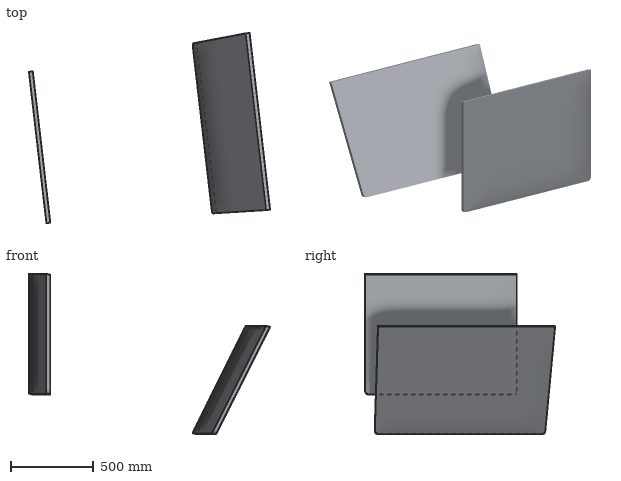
import cadquery as cq
import math

yaw = 6.6
thickness = 25.0
edge_drop = 6.0
corner_radius = 22.0

yaw_cos = math.cos(math.radians(yaw))
yaw_sin = math.sin(math.radians(yaw))
thickness_vector = cq.Vector(thickness * yaw_cos, thickness * yaw_sin, -edge_drop)

upright_length = 930.0
upright_bottom = 247.0
upright_top = 978.0
upright_end_x = upright_length * yaw_sin

leaning_bottom = edge_drop
leaning_top = 660.0
leaning_top_length = 1085.0
leaning_bottom_length = 1044.0
overall_length = 1470.0
leaning_top_x = overall_length - thickness * yaw_cos
leaning_top_y = 80.0
leaning_bottom_x = 1116.0
leaning_bottom_y = 59.0


def far_end(near, length):
    """Point at the +Y end of a level edge that starts at near."""
    return near + cq.Vector(-length * yaw_sin, length * yaw_cos, 0)


def make_panel(bottom_near, bottom_length, top_near, top_length):
    """Slanted prism on a four-sided front face, with both lower corners rounded."""
    bottom_far = far_end(bottom_near, bottom_length)
    top_far = far_end(top_near, top_length)
    outline = cq.Wire.makePolygon([bottom_near, bottom_far, top_far, top_near], close=True)
    lower_corners = [
        vertex for vertex in outline.Vertices()
        if vertex.Z < (bottom_near.z + top_near.z) / 2
    ]
    front_face = cq.Face.makeFromWires(outline).fillet2D(corner_radius, lower_corners)
    return cq.Solid.extrudeLinear(front_face, thickness_vector)


upright_panel = make_panel(
    cq.Vector(upright_end_x, 0, upright_bottom),
    upright_length,
    cq.Vector(upright_end_x, 0, upright_top),
    upright_length,
)

leaning_panel = make_panel(
    cq.Vector(leaning_bottom_x, leaning_bottom_y, leaning_bottom),
    leaning_bottom_length,
    cq.Vector(leaning_top_x, leaning_top_y, leaning_top),
    leaning_top_length,
)

result = cq.Compound.makeCompound([upright_panel, leaning_panel])